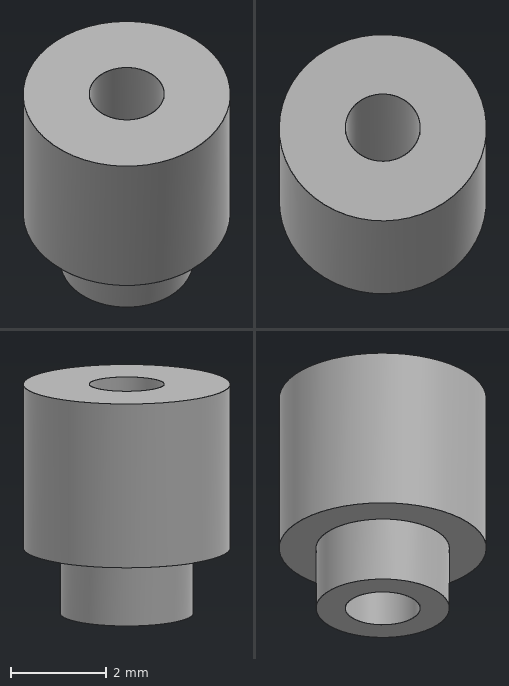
import cadquery as cq

body_diameter = 4.35
body_height = 3.5
spigot_diameter = 2.8
spigot_height = 1.4
bore_diameter = 1.57

total_height = spigot_height + body_height


def cylinder(diameter, height, base_z):
    """Upright cylinder on the Z axis, standing on base_z."""
    return cq.Workplane("XY").workplane(offset=base_z).circle(diameter / 2).extrude(height)


spigot = cylinder(spigot_diameter, spigot_height, 0)
body = cylinder(body_diameter, body_height, spigot_height)

bore = cylinder(bore_diameter, total_height, 0)

result = spigot.union(body).cut(bore)